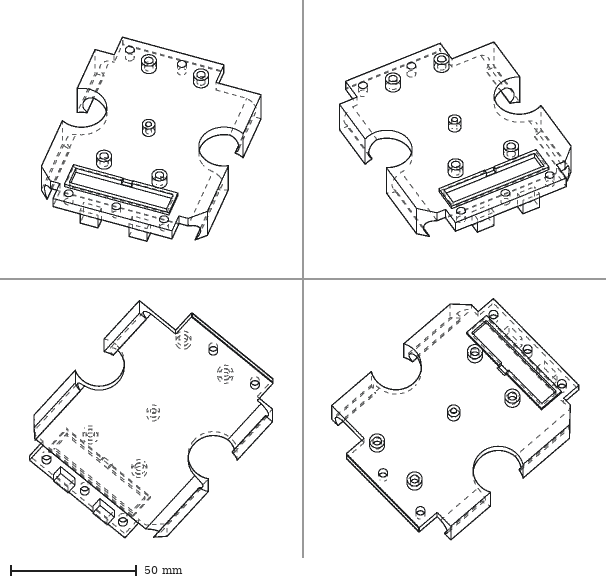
import cadquery as cq

width = 70.0
length = 88.0
boss_height = 4.6
total_height = 19.5
wall_depth = total_height - boss_height
plate_thickness = 4.75
half_width = width / 2
half_length = length / 2

body_rear = 34.1
body_front = -35.8
corner_chamfer = 6.0

rear_tab_left = -26.9
rear_tab_right = 15.9
rear_edge_chamfer = 0.3
front_tab_half_width = 25.1
front_tab_thickness = 5.1
screw_hole_diameter = 3.5
rear_hole_y = 38.5
front_hole_y = -39.4
front_hole_spacing = 20.1
screw_holes = [(-21.9, rear_hole_y), (0, rear_hole_y)]
screw_holes += [(i * front_hole_spacing, front_hole_y) for i in (-1, 0, 1)]

cutout_radius = 10.0
cutout_x = 30.0
cutout_y = 4.0

wall_groove_radius = 6.0
wall_min_thickness = 2.1
wall_lip_thickness = 3.8
groove_axis_x = half_width - wall_min_thickness - wall_groove_radius
groove_axis_depth = 10.4

boss_diameter = 6.0
boss_hole_diameter = 3.3
boss_centers = [(-12.0, -20.15), (12.1, -22.1), (-11.7, 32.3), (10.3, 32.3)]
center_boss_diameter = 5.0
center_boss_hole_diameter = 2.3
center_boss = (-0.8, 1.2)

frame_left = -22.8
frame_right = 21.2
frame_front = -36.7
frame_rear = -26.0
frame_wall = 1.5
frame_height = 1.5
pocket_depth = 1.0
notch_depth = 0.7
notch_left = -2.0
notch_right = 2.2
notch_rear = -25.0

post_width = 7.6
post_front = -42.2
post_rear = -37.9
post_bottom = -13.0
post_centers_x = (-10.5, 10.1)


def box(x0, x1, y0, y1, z0, z1):
    """Box between the given limits."""
    return cq.Workplane("XY").box(x1 - x0, y1 - y0, z1 - z0, centered=False).translate((x0, y0, z0))


def make_body():
    """Chamfered block with an open channel running along Y underneath."""
    body = box(-half_width, half_width, body_front, body_rear, -wall_depth, 0)
    body = body.edges("|Z and <Y").chamfer(corner_chamfer)
    channel_half_width = half_width - wall_lip_thickness
    channel = box(-channel_half_width, channel_half_width, body_front, body_rear,
                  -wall_depth, -groove_axis_depth)
    channel = channel.union(box(-groove_axis_x, groove_axis_x, body_front, body_rear,
                                -wall_depth, -plate_thickness))
    for side in (-1, 1):
        groove = (
            cq.Workplane("XZ", origin=(0, body_rear, 0))
            .center(side * groove_axis_x, -groove_axis_depth)
            .circle(wall_groove_radius)
            .extrude(body_rear - body_front)
        )
        channel = channel.union(groove)
    below_plate = box(-half_width, half_width, body_front, body_rear, -wall_depth, -plate_thickness)
    return body.cut(channel.intersect(below_plate))


def make_tabs():
    """Narrower tabs extending the plate at both ends."""
    rear = box(rear_tab_left, rear_tab_right, body_rear, half_length, -plate_thickness, 0)
    rear = rear.faces(">Y").edges().chamfer(rear_edge_chamfer)
    front = box(-front_tab_half_width, front_tab_half_width, -half_length, body_front,
                -front_tab_thickness, 0)
    return rear.union(front)


def make_bosses(centers, diameter, hole_diameter):
    """Hollow round bosses standing on the plate."""
    return (
        cq.Workplane("XY").pushPoints(centers).circle(diameter / 2).extrude(boss_height)
        .cut(cq.Workplane("XY").pushPoints(centers).circle(hole_diameter / 2).extrude(boss_height))
    )


def make_frame():
    """Solid raised block from which the frame is hollowed out."""
    return box(frame_left, frame_right, frame_front, frame_rear, 0, frame_height)


def make_frame_pocket():
    """Space inside the frame, sunk into the plate, with the notch and its ramp up to the plate."""
    pocket_rear = frame_rear - frame_wall
    pocket = box(frame_left + frame_wall, frame_right - frame_wall,
                 frame_front + frame_wall, pocket_rear, -pocket_depth, frame_height)
    notch = (
        cq.Workplane("YZ", origin=(notch_left, 0, 0))
        .moveTo(pocket_rear, -notch_depth)
        .lineTo(frame_rear, -notch_depth)
        .lineTo(notch_rear, 0)
        .lineTo(notch_rear, frame_height)
        .lineTo(pocket_rear, frame_height)
        .close()
        .extrude(notch_right - notch_left)
    )
    return pocket.union(notch)


result = make_body().union(make_tabs())

cutouts = (
    cq.Workplane("XY")
    .pushPoints([(-cutout_x, cutout_y), (cutout_x, cutout_y)])
    .circle(cutout_radius)
    .extrude(-wall_depth)
)
holes = cq.Workplane("XY").pushPoints(screw_holes).circle(screw_hole_diameter / 2).extrude(-wall_depth)
result = result.cut(cutouts).cut(holes)

for post_x in post_centers_x:
    post = box(post_x - post_width / 2, post_x + post_width / 2, post_front, post_rear,
               post_bottom, -front_tab_thickness)
    result = result.union(post)

result = result.union(make_bosses(boss_centers, boss_diameter, boss_hole_diameter))
result = result.union(make_bosses([center_boss], center_boss_diameter, center_boss_hole_diameter))
result = result.union(make_frame()).cut(make_frame_pocket())